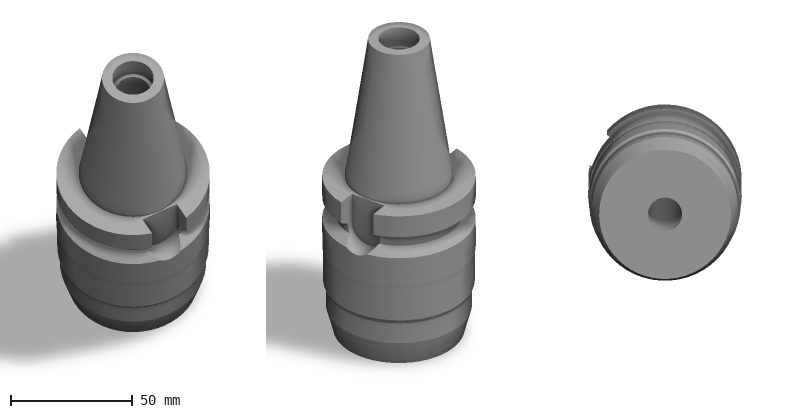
import cadquery as cq

nose_cone_top = 11.5
shoulder_chamfer_bottom = 21.2
shoulder_chamfer_top = 23.3
body_top = 40.0
gauge_line = 75.0
flange_face_gap = 1.0
flange_top = gauge_line - flange_face_gap

nose_diameter = 54.0
collar_diameter = 60.0
body_diameter = 62.2
flange_diameter = 63.0
gauge_diameter = 44.45

taper_length = 65.4
taper_ratio = 7 / 24
shank_top = gauge_line + taper_length
shank_top_diameter = gauge_diameter - taper_ratio * taper_length

groove_center = 58.8
groove_root_width = 4.2
groove_mouth_width = 10.2
groove_root_diameter = 53.0

bore_diameter = 14.0
counterbore_diameter = 17.0
counterbore_depth = 9.0

slot_width = 16.1
slot_bottom = 52.0
slot_floor_distance = 22.5


def turned_body():
    """Nose, body, flange and tapered shank as one solid of revolution."""
    stations = [
        (nose_diameter, 0),
        (collar_diameter, nose_cone_top),
        (collar_diameter, shoulder_chamfer_bottom),
        (body_diameter, shoulder_chamfer_top),
        (body_diameter, body_top),
        (flange_diameter, body_top),
        (flange_diameter, groove_center - groove_mouth_width / 2),
        (groove_root_diameter, groove_center - groove_root_width / 2),
        (groove_root_diameter, groove_center + groove_root_width / 2),
        (flange_diameter, groove_center + groove_mouth_width / 2),
        (flange_diameter, flange_top),
        (gauge_diameter, flange_top),
        (gauge_diameter, gauge_line),
        (shank_top_diameter, shank_top),
    ]
    outline = [(diameter / 2, level) for diameter, level in stations]
    half_section = cq.Workplane("XZ").polyline([(0, 0), *outline, (0, shank_top)]).close()
    return half_section.revolve(360, (0, 0, 0), (0, 1, 0))


def stepped_bore():
    """Through bore with a wider counterbore at the shank end."""
    through = cq.Workplane("XY").circle(bore_diameter / 2).extrude(shank_top)
    counterbore = (
        cq.Workplane("XY", origin=(0, 0, shank_top - counterbore_depth))
        .circle(counterbore_diameter / 2)
        .extrude(counterbore_depth)
    )
    return through.union(counterbore)


def drive_slot(side):
    """Round-bottomed slot open at the flange face; side is +1 or -1 along X."""
    slot_radius = slot_width / 2
    arc_center = slot_bottom + slot_radius
    slot_depth = flange_diameter / 2 - slot_floor_distance
    return (
        cq.Workplane("YZ", origin=(side * slot_floor_distance, 0, 0))
        .moveTo(-slot_radius, flange_top)
        .lineTo(-slot_radius, arc_center)
        .threePointArc((0, slot_bottom), (slot_radius, arc_center))
        .lineTo(slot_radius, flange_top)
        .close()
        .extrude(side * slot_depth)
    )


result = turned_body().cut(stepped_bore())
for slot_side in (-1, 1):
    result = result.cut(drive_slot(slot_side))